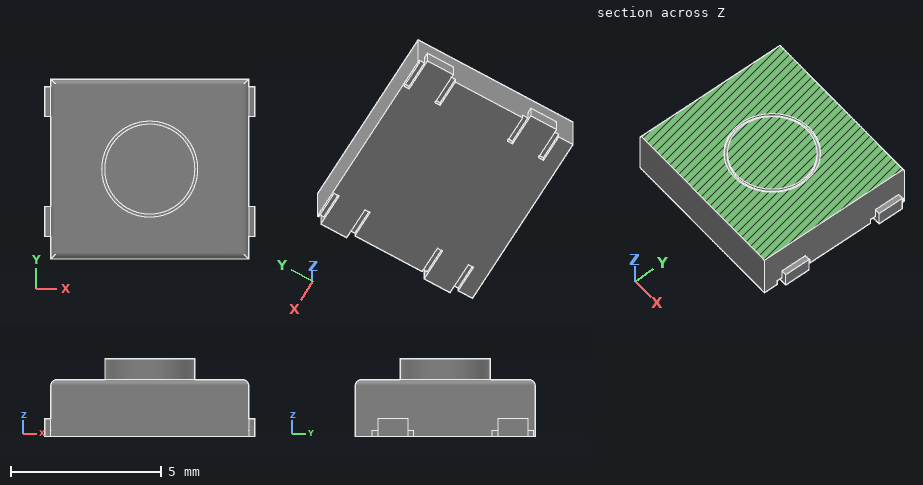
import cadquery as cq

overall_length = 7.0
body_width = 6.0
overall_height = 2.6

body_length = 6.6
base_height = 1.295
lid_top = 1.9
lid_edge_radius = 0.2

button_diameter = 3.0
recess_diameter = 3.2
recess_depth = 0.2
recess_floor = lid_top - recess_depth

terminal_thickness = (overall_length - body_length) / 2
terminal_width = 1.0
terminal_height = 0.595
terminal_spacing = 4.0
terminal_row_offset = 0.25
notch_side_gap = 0.195
notch_height = 0.2
notch_depth = 1.0
notch_width = terminal_width + 2 * notch_side_gap


def block(length, width, height):
    """Box centred in X and Y, with its underside on Z = 0."""
    return cq.Workplane("XY").box(length, width, height, centered=(True, True, False))


def make_lid():
    lid = block(body_length, body_width, lid_top - base_height)
    lid = lid.faces(">Z").edges().fillet(lid_edge_radius)
    lid = lid.faces(">Z").workplane().hole(recess_diameter, recess_depth)
    return lid.translate((0, 0, base_height))


def make_button():
    button = cq.Workplane("XY").workplane(offset=recess_floor)
    return button.circle(button_diameter / 2).extrude(overall_height - recess_floor)


def make_notch(side, y):
    x = side * (body_length - notch_depth) / 2
    return block(notch_depth, notch_width, notch_height).translate((x, y, 0))


def make_terminal(side, y):
    plate_x = side * (overall_length - terminal_thickness) / 2
    plate = block(terminal_thickness, terminal_width, terminal_height).translate((plate_x, y, 0))
    foot_x = side * (body_length - notch_depth) / 2
    foot = block(notch_depth, terminal_width, notch_height).translate((foot_x, y, 0))
    return plate.union(foot)


terminal_places = [
    (side, terminal_row_offset + row * terminal_spacing / 2)
    for side in (-1, 1)
    for row in (-1, 1)
]

body = block(body_length, body_width, base_height)
for side, y in terminal_places:
    body = body.cut(make_notch(side, y))

body = body.union(make_lid(), clean=False)
body = body.union(make_button(), clean=False)
for side, y in terminal_places:
    body = body.union(make_terminal(side, y), clean=False)

result = body